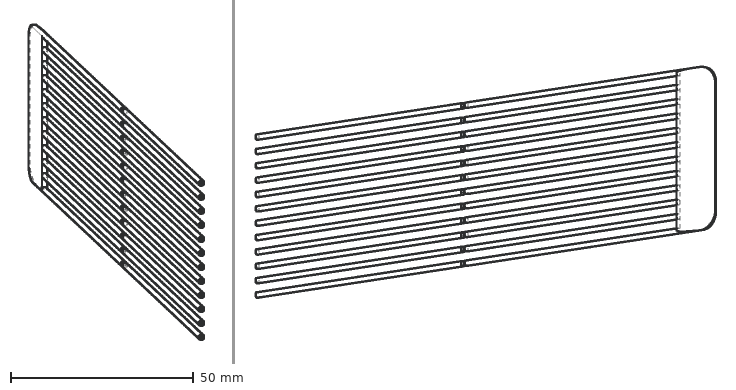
import cadquery as cq

length = 161.8
height = 45.6

rod_count = 12
rod_diameter = 1.57
rod_radius = rod_diameter / 2
rod_span = height - rod_diameter
rod_pitch = rod_span / (rod_count - 1)
tip_chamfer = 0.5

groove_x = 88.2
groove_width = 1.3
groove_depth = 0.4

plate_length = 12.8
plate_end_thickness = 0.5
corner_radius = 5.0

front_y = -rod_radius
back_y = rod_radius


def make_rod(z):
    """One rod along X, chamfered at its tip, with a V-groove around it."""
    profile = [
        (0, 0),
        (0, rod_radius),
        (groove_x - groove_width / 2, rod_radius),
        (groove_x, rod_radius - groove_depth),
        (groove_x + groove_width / 2, rod_radius),
        (length - tip_chamfer, rod_radius),
        (length, rod_radius - tip_chamfer),
        (length, 0),
    ]
    rod = cq.Workplane("XY").polyline(profile).close().revolve(360, (0, 0, 0), (1, 0, 0))
    return rod.translate((0, 0, z))


def make_plate():
    """Full-thickness plate whose long edges lie on the axes of the outer rods."""
    plate = cq.Workplane("XY").box(plate_length, rod_diameter, rod_span)
    return plate.translate((plate_length / 2, 0, 0))


def make_envelope():
    """Limits of the part: a wedge at the handle end, with rounded outer corners."""
    side_profile = [
        (0, front_y),
        (length, front_y),
        (length, back_y),
        (plate_length, back_y),
        (0, front_y + plate_end_thickness),
    ]
    wedge = cq.Workplane("XY").polyline(side_profile).close().extrude(height / 2, both=True)
    return wedge.edges("<X and |Y").fillet(corner_radius)


body = make_plate()
for index in range(rod_count):
    body = body.union(make_rod(index * rod_pitch - rod_span / 2))

result = body.intersect(make_envelope())